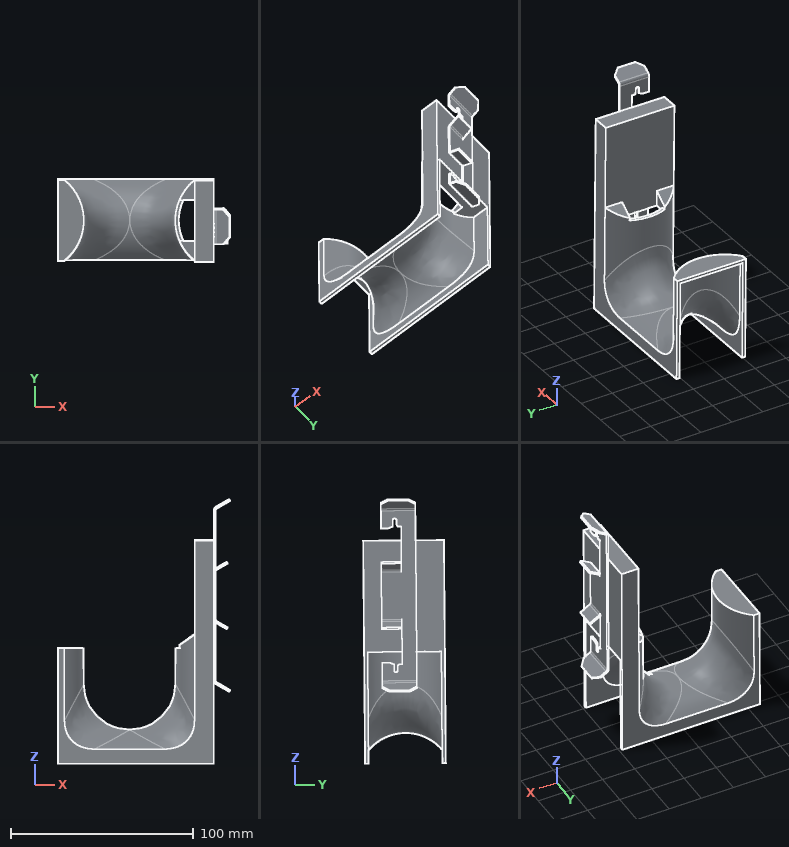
import cadquery as cq
import math

LENGTH = 85.6
WIDTH = 44.5
HEIGHT = 122.5
COLUMN_DEPTH = 10.6
LIP_HEIGHT = 63.4
WALL = 2.0
SADDLE_SPAN = 50.1
SADDLE_SAG = 10.6
SADDLE_BLEND = 25.0
SADDLE_EDGE_HEIGHT = 8.1
ROOF_RISE = 7.5
SLOT_WIDTH = 22.4

SHEET = 1.0
CLIP_MID_HEIGHT = 92.3
CLIP_WIDTH = 19.0
CLIP_SIDE = 6.7
STRIP_WIDTH = 8.0
OUTER_BEND = 48.0
INNER_BEND = 14.4
HOOK_ANGLE = 30.0
OUTER_HOOK_REACH = 8.5
INNER_HOOK_REACH = 7.0
HOOK_CORNER = 3.9
BEND_RADIUS = 1.3
HEAD_DROP = 10.2
TOOTH_DROP = 1.0
NOTCH_WIDTH = 2.0
NOTCH_HEIGHT = 4.4
NOTCH_LEAD_IN = 0.7
NOTCH_OFFSET = 3.5
TOOTH_RAMP = 2.5

TILT = 0.5

COLUMN_FRONT = LENGTH - COLUMN_DEPTH
CREST_RIGHT = COLUMN_FRONT - SADDLE_SAG
SADDLE_MID = CREST_RIGHT - SADDLE_SPAN / 2
SADDLE_RADIUS = ((WIDTH / 2) ** 2 + SADDLE_SAG**2) / (2 * SADDLE_SAG)
SADDLE_CREST_HEIGHT = SADDLE_EDGE_HEIGHT + SADDLE_SAG
CEILING = LIP_HEIGHT - WALL


def box(x0, x1, y0, y1, z0, z1):
    """Box between two opposite corners."""
    return cq.Workplane("XY").box(x1 - x0, y1 - y0, z1 - z0, centered=False).translate((x0, y0, z0))


def saddle_space(skin):
    """Open space inside the U-shaped saddle, grown by `skin` into the walls around it."""
    radius = SADDLE_RADIUS - skin
    axis_reach = SADDLE_SPAN / 2 + SADDLE_RADIUS
    axis_height = SADDLE_CREST_HEIGHT - SADDLE_RADIUS
    left_axis = SADDLE_MID - axis_reach
    right_axis = SADDLE_MID + axis_reach
    space = box(left_axis, right_axis, -WIDTH / 2, WIDTH / 2, axis_height, HEIGHT)
    for axis in (left_axis, right_axis):
        upright = cq.Workplane("XY", origin=(axis, 0, axis_height)).circle(radius).extrude(HEIGHT + radius)
        space = space.cut(upright)
    floor = cq.Workplane("YZ", origin=(left_axis, 0, axis_height)).circle(radius).extrude(2 * axis_reach)
    space = space.cut(floor)
    crest = SADDLE_CREST_HEIGHT - skin
    corner_zone = cq.selectors.BoxSelector(
        (left_axis + radius / 2, -WIDTH, crest - radius / 2),
        (right_axis - radius / 2, WIDTH, crest + radius / 2),
    )
    mitres = space.edges("%ELLIPSE").edges(corner_zone)
    return mitres.fillet(SADDLE_BLEND + skin)


def make_housing():
    """Thin-walled hook: open below and at both ends, with a solid column above the ceiling."""
    blank = (
        cq.Workplane("XZ", origin=(0, WIDTH / 2, 0))
        .polyline([
            (0, 0),
            (LENGTH, 0),
            (LENGTH, HEIGHT),
            (COLUMN_FRONT, HEIGHT),
            (COLUMN_FRONT, LIP_HEIGHT + ROOF_RISE),
            (CREST_RIGHT, LIP_HEIGHT),
            (0, LIP_HEIGHT),
        ])
        .close()
        .extrude(WIDTH)
    )
    inner_half = WIDTH / 2 - WALL
    skin_space = saddle_space(WALL)
    cavity = box(0, LENGTH, -inner_half, inner_half, 0, CEILING).cut(skin_space)

    slot_half = SLOT_WIDTH / 2
    wedge_gap = box(CREST_RIGHT, COLUMN_FRONT, -slot_half, slot_half, LIP_HEIGHT, LIP_HEIGHT + ROOF_RISE)
    roof_gap = box(CREST_RIGHT, COLUMN_FRONT, -slot_half, slot_half, CEILING, LIP_HEIGHT).cut(skin_space)
    return blank.cut(saddle_space(0)).cut(cavity).cut(wedge_gap).cut(roof_gap)


def make_hook(bend_height, reach, y_low, y_high, corner):
    """Flat tab rising from the plate's front face at `bend_height`, with cut tip corners."""
    angle = math.radians(HOOK_ANGLE)
    run = reach / math.cos(angle)
    plane = cq.Plane(
        origin=(LENGTH, 0, bend_height),
        xDir=(math.cos(angle), 0, math.sin(angle)),
        normal=(math.sin(angle), 0, -math.cos(angle)),
    )
    hook = (
        cq.Workplane(plane)
        .center(run / 2, -(y_low + y_high) / 2)
        .rect(run, y_high - y_low)
        .extrude(SHEET)
    )
    if corner:
        tip = cq.selectors.BoxSelector(
            (LENGTH + reach / 2, y_low - SHEET, bend_height),
            (LENGTH + 2 * reach, y_high + SHEET, bend_height + reach),
        )
        through_sheet = cq.selectors.ParallelDirSelector(plane.zDir)
        hook = hook.edges(tip).edges(through_sheet).chamfer(corner)
    return hook


def join_at_bend(plate, hook, bend_height):
    """Join a hook to the plate it rises from and round both sides of the bend."""
    bent = plate.union(hook)
    inside_drop = SHEET * math.tan(math.radians(HOOK_ANGLE))
    reach = SHEET / 4
    for x, z, radius in (
        (LENGTH, bend_height, BEND_RADIUS + SHEET),
        (LENGTH + SHEET, bend_height - inside_drop, BEND_RADIUS),
    ):
        corner = cq.selectors.BoxSelector(
            (x - reach, -CLIP_WIDTH, z - reach),
            (x + reach, CLIP_WIDTH, z + reach),
        )
        bent = bent.edges("|Y").edges(corner).fillet(radius)
    return bent


def make_head(y_low, strip_inner):
    """Wide end of the plate, with a notch and a longer free end along its lower edge."""
    top = OUTER_BEND
    low = top - HEAD_DROP
    notch_mid = strip_inner - NOTCH_OFFSET
    notch_near = notch_mid + NOTCH_WIDTH / 2
    notch_far = notch_mid - NOTCH_WIDTH / 2
    notch_spring = low + NOTCH_HEIGHT - NOTCH_WIDTH / 2
    return (
        cq.Workplane("YZ", origin=(LENGTH, 0, 0))
        .moveTo(CLIP_SIDE, top)
        .lineTo(CLIP_SIDE, low)
        .lineTo(notch_near + NOTCH_LEAD_IN, low)
        .lineTo(notch_near, low + NOTCH_LEAD_IN)
        .lineTo(notch_near, notch_spring)
        .threePointArc((notch_mid, low + NOTCH_HEIGHT), (notch_far, notch_spring))
        .lineTo(notch_far, low)
        .lineTo(notch_far - TOOTH_RAMP, low - TOOTH_DROP)
        .lineTo(y_low, low - TOOTH_DROP)
        .lineTo(y_low, top)
        .close()
        .extrude(SHEET)
    )


def make_clip():
    """Hooked sheet-metal plate lying against the column's back face, alike above and below its middle."""
    y_low = CLIP_SIDE - CLIP_WIDTH
    strip_inner = CLIP_SIDE - STRIP_WIDTH
    back = LENGTH + SHEET
    strip = box(LENGTH, back, strip_inner, CLIP_SIDE, 0, OUTER_BEND - HEAD_DROP)
    wing = box(LENGTH, back, y_low, strip_inner, 0, INNER_BEND)
    outer_hook = make_hook(OUTER_BEND, OUTER_HOOK_REACH, y_low, CLIP_SIDE, HOOK_CORNER)
    inner_hook = make_hook(INNER_BEND, INNER_HOOK_REACH, y_low, strip_inner, 0)
    hooked_head = join_at_bend(make_head(y_low, strip_inner), outer_hook, OUTER_BEND)
    hooked_wing = join_at_bend(wing, inner_hook, INNER_BEND)
    half = strip.union(hooked_head).union(hooked_wing)
    whole = half.union(half.mirror("XY"))
    return whole.translate((0, 0, CLIP_MID_HEIGHT))


def lean(body):
    """Tilt a body about the X axis."""
    return body.rotate((0, 0, 0), (1, 0, 0), TILT)


housing = lean(make_housing())
clip = lean(make_clip())

result = cq.Compound.makeCompound([housing.val(), clip.val()])